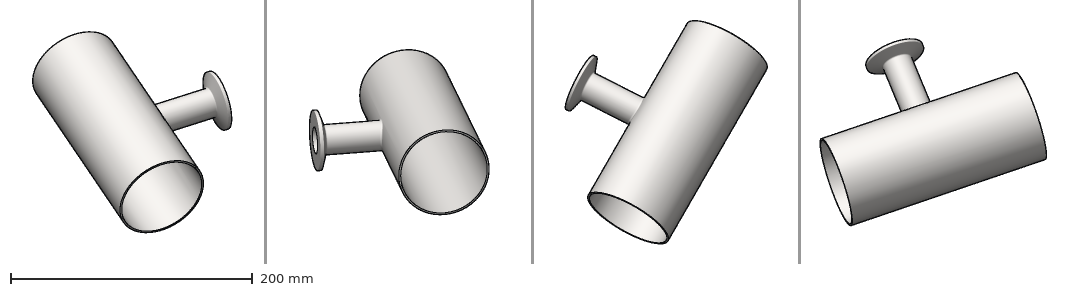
import cadquery as cq
import math

tube_length = 171.5
tube_od = 76.1
tube_bore = 72.9

branch_od = 25.4
branch_bore = 22.1
flange_face_y = 92.0
weld_fillet = 1.5

flange_od = 50.4
rim_thickness = 3.1
rim_rounding = 0.3
cone_angle = 20.0
neck_fillet = 1.0
ferrule_length = 12.7

flange_radius = flange_od / 2
branch_radius = branch_od / 2
select_margin = 0.2
cone_length = (flange_radius - branch_radius) * math.tan(math.radians(cone_angle))


def cylinder_along_y(diameter, start, end):
    """Solid cylinder on the Y axis between two Y positions."""
    sketch = cq.Workplane("XZ", origin=(0, start, 0)).circle(diameter / 2)
    return sketch.extrude(start - end)


def make_ferrule():
    """Flange with a conical back that blends into a short neck."""
    rim_back_y = flange_face_y - rim_thickness
    neck_y = rim_back_y - cone_length
    weld_y = flange_face_y - ferrule_length
    body = (
        cq.Workplane("XY")
        .moveTo(0, flange_face_y)
        .lineTo(flange_radius, flange_face_y)
        .lineTo(flange_radius, rim_back_y)
        .lineTo(branch_radius, neck_y)
        .lineTo(branch_radius, weld_y)
        .lineTo(0, weld_y)
        .close()
        .revolve(360, (0, 0, 0), (0, 1, 0))
    )

    def ring_at(y, radius):
        """Circular edge of the current body at a Y position."""
        reach = radius + select_margin
        around_ring = cq.selectors.BoxSelector(
            (-reach, y - select_margin, -reach),
            (reach, y + select_margin, reach),
            boundingbox=True,
        )
        return body.edges(around_ring)

    body = ring_at(neck_y, branch_radius).fillet(neck_fillet)
    body = ring_at(flange_face_y, flange_radius).fillet(rim_rounding)
    return ring_at(rim_back_y, flange_radius).fillet(rim_rounding)


def make_run_with_branch():
    """Main tube and branch as solid bars, with a weld fillet where they meet."""
    run = cq.Workplane("YZ").circle(tube_od / 2).extrude(tube_length / 2, both=True)
    branch_end_y = flange_face_y - ferrule_length
    tee = run.union(cylinder_along_y(branch_od, 0, branch_end_y))
    seam = cq.selectors.BoxSelector(
        (-branch_od, 0, -branch_od),
        (branch_od, tube_od / 2 + weld_fillet, branch_od),
        boundingbox=True,
    )
    return tee.edges(seam).fillet(weld_fillet)


tube_hollow = cq.Workplane("YZ").circle(tube_bore / 2).extrude(tube_length / 2, both=True)
branch_hollow = cylinder_along_y(branch_bore, 0, flange_face_y)

result = make_run_with_branch().union(make_ferrule()).cut(tube_hollow).cut(branch_hollow)